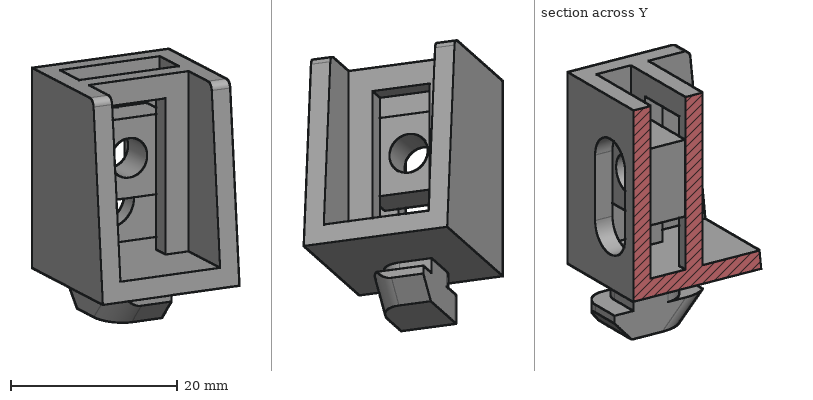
import cadquery as cq

BODY_LENGTH = 18.5
BODY_WIDTH = 18.5
BODY_HEIGHT = 25.0
TOP_LENGTH = 16.0
TOP_EDGE_RADIUS = 1.0
WALL = 2.5

REAR_POCKET_LENGTH = 5.0
POCKET_WIDTH = BODY_WIDTH - 2 * WALL
POCKET_DEPTH = BODY_HEIGHT - WALL
CROSS_WALL_X = WALL + REAR_POCKET_LENGTH
FRONT_POCKET_X = CROSS_WALL_X + WALL

SLOT_WIDTH = 6.52
SLOT_HEIGHT = 15.05
SLOT_CENTER_Z = 12.0
WINDOW_WIDTH = 7.35
WINDOW_HEIGHT = 19.5
BLOCK_SIZE = 10.0
BLOCK_CENTER_Z = 14.4
BLOCK_HOLE_DIAMETER = 4.93

FOOT_CENTER_X = WALL + REAR_POCKET_LENGTH / 2
FOOT_WIDTH = 7.1
FOOT_RADIUS = 3.0
NECK_LENGTH = 8.02
NECK_HEIGHT = 1.9
HEAD_LENGTH = 13.5
HEAD_HEIGHT = 30.6 - BODY_HEIGHT - NECK_HEIGHT
RIM_HEIGHT = 1.0
TAPER_HEIGHT = HEAD_HEIGHT - RIM_HEIGHT
TAPER_RUN = 2.5


def box_from(x, length, width, z, height):
    """Box centred on Y, starting at the given X and Z."""
    return cq.Workplane("XY").box(length, width, height, centered=(False, True, False)).translate((x, 0, z))


def extrude_across(points, width):
    """Extrude an XZ outline symmetrically about the XZ plane."""
    return cq.Workplane("XZ").polyline(points).close().extrude(width / 2, both=True)


def make_body():
    """Wedge-sided housing with its sloping front and rounded top edge."""
    outline = [(0, 0), (BODY_LENGTH, 0), (TOP_LENGTH, BODY_HEIGHT), (0, BODY_HEIGHT)]
    body = extrude_across(outline, BODY_WIDTH)
    body = body.edges("|Y").edges(">Z").edges(">X").fillet(TOP_EDGE_RADIUS)
    body = body.cut(box_from(WALL, REAR_POCKET_LENGTH, POCKET_WIDTH, WALL, POCKET_DEPTH))
    return body.cut(box_from(FRONT_POCKET_X, BODY_LENGTH, POCKET_WIDTH, WALL, POCKET_DEPTH))


def make_block():
    """Square block filling the middle of the rear pocket, bored along X."""
    block = box_from(WALL, REAR_POCKET_LENGTH, BLOCK_SIZE, BLOCK_CENTER_Z - BLOCK_SIZE / 2, BLOCK_SIZE)
    return block.faces(">X").workplane(centerOption="CenterOfBoundBox").hole(BLOCK_HOLE_DIAMETER)


def make_back_slot():
    """Upright round-ended slot through the back wall."""
    return (
        cq.Workplane("YZ")
        .center(0, SLOT_CENTER_Z)
        .slot2D(SLOT_HEIGHT, SLOT_WIDTH, 90)
        .extrude(WALL)
    )


def make_neck():
    """Upright neck with two diagonally opposite corners rounded."""
    neck = box_from(FOOT_CENTER_X - NECK_LENGTH / 2, NECK_LENGTH, FOOT_WIDTH, -NECK_HEIGHT, NECK_HEIGHT)
    neck = neck.edges("|Z").edges("<X").edges(">Y").fillet(FOOT_RADIUS)
    return neck.edges("|Z").edges(">X").edges("<Y").fillet(FOOT_RADIUS)


def make_head():
    """Tapered head: one corner rounded upright, the opposite one along its taper."""
    left = FOOT_CENTER_X - HEAD_LENGTH / 2
    right = left + HEAD_LENGTH
    top = -NECK_HEIGHT
    bottom = top - HEAD_HEIGHT
    overhang = TAPER_RUN * RIM_HEIGHT / TAPER_HEIGHT
    outline = [
        (left - overhang, top),
        (right + overhang, top),
        (right - TAPER_RUN, bottom),
        (left + TAPER_RUN, bottom),
    ]
    head = extrude_across(outline, FOOT_WIDTH)
    head = head.faces(">X").edges("<Y").fillet(FOOT_RADIUS)
    envelope = box_from(left, HEAD_LENGTH, FOOT_WIDTH, bottom, HEAD_HEIGHT)
    envelope = envelope.edges("|Z").edges("<X").edges(">Y").fillet(FOOT_RADIUS)
    return head.intersect(envelope)


cross_wall_window = box_from(CROSS_WALL_X, WALL, WINDOW_WIDTH, WALL, WINDOW_HEIGHT)

result = (
    make_body()
    .union(make_block())
    .cut(make_back_slot())
    .cut(cross_wall_window)
    .union(make_neck())
    .union(make_head())
)